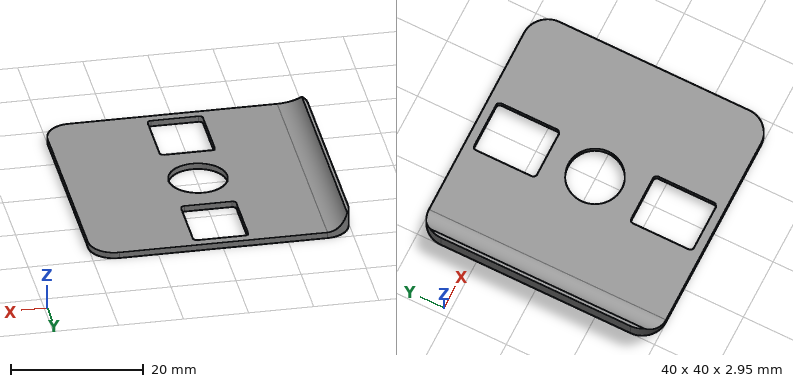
import cadquery as cq
import math

side = 40.0
thickness = 1.0
corner_radius = 4.0

lip_height = 2.95
lip_radius = 4.0

bore_diameter = 9.0
window_width = 8.5
window_length = 10.55
window_corner_radius = 0.6
window_offset = 13.25

edge_x = -side / 2


def lipped_plate():
    """Side profile extruded along Y, with the four vertical corners rounded."""
    foot_x = edge_x + lip_radius
    drop_to_top = lip_radius - (lip_height - thickness)
    top_x = foot_x - math.sqrt(lip_radius**2 - drop_to_top**2)
    profile = (
        cq.Workplane("XZ")
        .moveTo(edge_x, 0)
        .lineTo(side / 2, 0)
        .lineTo(side / 2, thickness)
        .lineTo(foot_x, thickness)
        .radiusArc((top_x, lip_height), lip_radius)
        .lineTo(edge_x, lip_height)
        .close()
        .extrude(side / 2, both=True)
    )
    outline = cq.Workplane("XY").rect(side, side).extrude(lip_height).edges("|Z").fillet(corner_radius)
    return profile.intersect(outline)


def center_bore():
    return cq.Workplane("XY").circle(bore_diameter / 2).extrude(lip_height)


def windows():
    """Two rounded rectangular openings, on either side of the bore along Y."""
    return (
        cq.Workplane("XY")
        .pushPoints([(0, -window_offset), (0, window_offset)])
        .rect(window_width, window_length)
        .extrude(lip_height)
        .edges("|Z")
        .fillet(window_corner_radius)
    )


result = lipped_plate().cut(center_bore()).cut(windows())